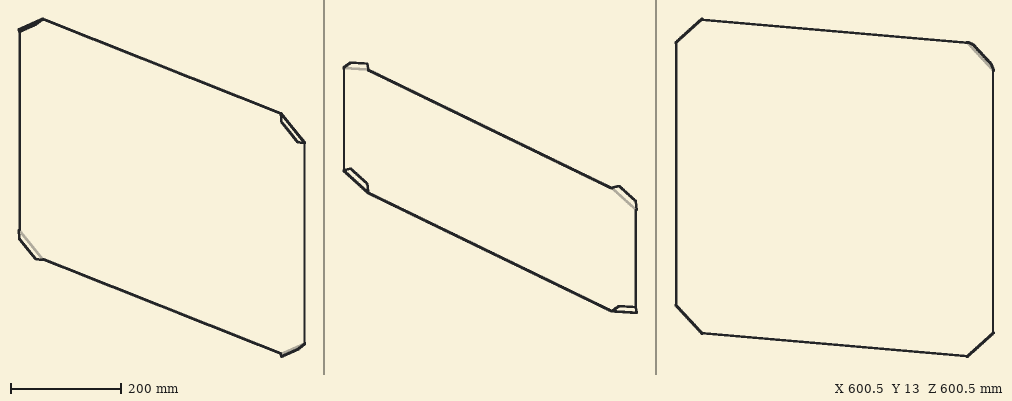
import cadquery as cq
import math

overall_size = 600.5
overall_depth = 13.0
sheet = 1.0
bend_inner = 1.0
corner_cut = 50.0

bend_outer = bend_inner + sheet
overhang = bend_outer / math.sqrt(2)
panel_size = overall_size - 2 * overhang
cut_distance = (panel_size - corner_cut) / math.sqrt(2)
flange_length = corner_cut * math.sqrt(2)
flange_taper = overall_depth - bend_outer

back_y = overall_depth / 2
front_y = -back_y
bend_end_y = back_y - bend_outer


def make_panel():
    """Square sheet with its four corners cut off, flush with the back."""
    return (
        cq.Workplane("XY")
        .box(panel_size, sheet, panel_size)
        .edges("|Y")
        .chamfer(corner_cut)
        .translate((0, back_y - sheet / 2, 0))
    )


def make_flange():
    """Bent flange along the X direction, on the +Z side of the part."""
    half_base = flange_length / 2
    half_tip = half_base - flange_taper
    outer_z = cut_distance + bend_outer
    inner_z = cut_distance + bend_inner
    diagonal = math.sqrt(0.5)

    bent_strip = (
        cq.Workplane("YZ")
        .moveTo(back_y, cut_distance)
        .threePointArc(
            (bend_end_y + bend_outer * diagonal, cut_distance + bend_outer * diagonal),
            (bend_end_y, outer_z),
        )
        .lineTo(front_y, outer_z)
        .lineTo(front_y, inner_z)
        .lineTo(bend_end_y, inner_z)
        .threePointArc(
            (bend_end_y + bend_inner * diagonal, cut_distance + bend_inner * diagonal),
            (back_y - sheet, cut_distance),
        )
        .close()
        .extrude(half_base, both=True)
    )
    face_outline = (
        cq.Workplane("XY", origin=(0, 0, cut_distance))
        .polyline([
            (-half_base, back_y),
            (half_base, back_y),
            (half_base, bend_end_y),
            (half_tip, front_y),
            (-half_tip, front_y),
            (-half_base, bend_end_y),
        ])
        .close()
        .extrude(bend_outer)
    )
    return bent_strip.intersect(face_outline)


result = make_panel()
flange = make_flange()
for corner_angle in (45, 135, 225, 315):
    result = result.union(flange.rotate((0, 0, 0), (0, 1, 0), corner_angle))